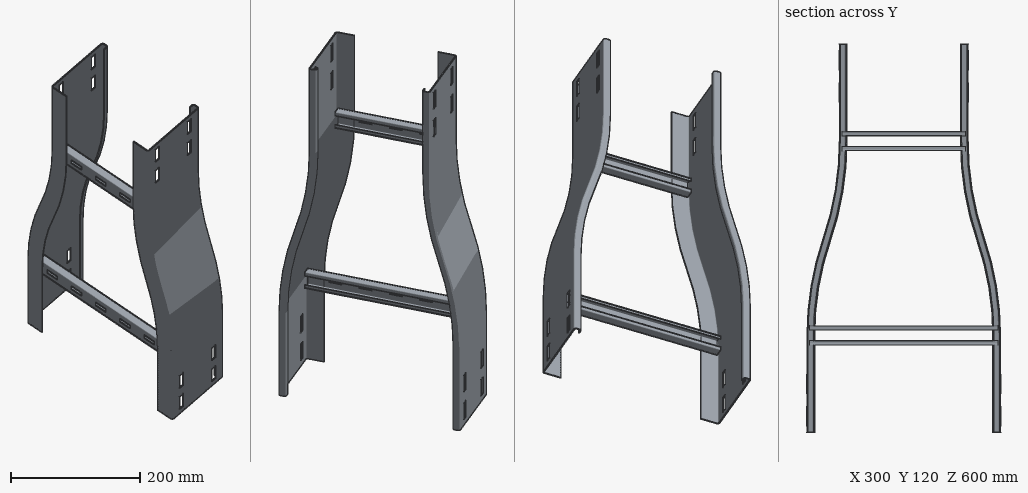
import cadquery as cq
import math

LENGTH = 600.0
DEPTH = 120.0
WIDE = 300.0
NARROW = 200.0
CURVE_START = 150.0
CURVE_END = LENGTH - CURVE_START

SHEET = 2.0
BEND = 4.0
BEND_INSIDE = BEND - SHEET
FRONT_FLANGE = 31.0
BACK_FLANGE = 12.5
LIP = 9.0

WEB_SLOT_WIDTH = 9.0
WEB_SLOT_LENGTH = 29.5
WEB_SLOT_FRONT_ROW = 22.0
WEB_SLOT_ROW_PITCH = 75.0
WEB_SLOT_ROWS = (WEB_SLOT_FRONT_ROW, WEB_SLOT_FRONT_ROW + WEB_SLOT_ROW_PITCH)
WEB_SLOT_FROM_END = 25.0
WEB_SLOT_PITCH = 50.0
WEB_SLOTS_PER_ROW = 2
SLOT_CUT = 4 * SHEET

RUNG_HEIGHT = 30.0
RUNG_DEPTH = 15.0
RUNG_SHEET = 1.5
RUNG_BEND = 2.0
RUNG_LIP = 7.0
RUNG_END_GAP = 0.5
RUNG_SLOT_LENGTH = 21.0
RUNG_SLOT_HEIGHT = 7.0
RUNG_SLOT_PITCH = 50.0
LOWER_SLOTS = 5
UPPER_SLOTS = 3

HALF_OFFSET = (WIDE - NARROW) / 4
HALF_RISE = (CURVE_END - CURVE_START) / 2
CURVE_RADIUS = (HALF_OFFSET**2 + HALF_RISE**2) / (2 * HALF_OFFSET)
CURVE_ANGLE = math.asin(HALF_RISE / CURVE_RADIUS)


def curve_point(angle, upper):
    """Point on the left rail's outer face (X, Z), at an angle along the lower or upper arc."""
    sideways = CURVE_RADIUS * (1 - math.cos(angle))
    along = CURVE_RADIUS * math.sin(angle)
    if upper:
        return (-NARROW / 2 - sideways, CURVE_END - along)
    return (-WIDE / 2 + sideways, CURVE_START + along)


def rail_path():
    """Straight, S-curve, straight: the line the outer face of the left rail follows."""
    half_angle = CURVE_ANGLE / 2
    return (
        cq.Workplane("XZ")
        .moveTo(-WIDE / 2, 0)
        .lineTo(*curve_point(0, False))
        .threePointArc(curve_point(half_angle, False), curve_point(CURVE_ANGLE, False))
        .threePointArc(curve_point(half_angle, True), curve_point(0, True))
        .lineTo(-NARROW / 2, LENGTH)
    )


def rail_section():
    """Bent-sheet section of the left rail at the bottom: web, front flange, back flange and lip."""
    outer_x = -WIDE / 2
    lip_x = outer_x + BACK_FLANGE
    mid_arc = 1 - math.sqrt(0.5)
    corner = BEND * mid_arc
    inner_corner = SHEET + BEND_INSIDE * mid_arc
    return (
        cq.Workplane("XY")
        .moveTo(outer_x + FRONT_FLANGE, 0)
        .lineTo(outer_x + BEND, 0)
        .threePointArc((outer_x + corner, corner), (outer_x, BEND))
        .lineTo(outer_x, DEPTH - BEND)
        .threePointArc((outer_x + corner, DEPTH - corner), (outer_x + BEND, DEPTH))
        .lineTo(lip_x - BEND, DEPTH)
        .threePointArc((lip_x - corner, DEPTH - corner), (lip_x, DEPTH - BEND))
        .lineTo(lip_x, DEPTH - LIP)
        .lineTo(lip_x - SHEET, DEPTH - LIP)
        .lineTo(lip_x - SHEET, DEPTH - BEND)
        .threePointArc((lip_x - inner_corner, DEPTH - inner_corner), (lip_x - BEND, DEPTH - SHEET))
        .lineTo(outer_x + BEND, DEPTH - SHEET)
        .threePointArc((outer_x + inner_corner, DEPTH - inner_corner), (outer_x + SHEET, DEPTH - BEND))
        .lineTo(outer_x + SHEET, BEND)
        .threePointArc((outer_x + inner_corner, inner_corner), (outer_x + BEND, SHEET))
        .lineTo(outer_x + FRONT_FLANGE, SHEET)
        .close()
    )


def rail_slots():
    """Cutters for the slots near both ends of the left rail's web."""
    slots = []
    for end_x, end_z, direction in ((-WIDE / 2, 0, 1), (-NARROW / 2, LENGTH, -1)):
        for row in WEB_SLOT_ROWS:
            for step in range(WEB_SLOTS_PER_ROW):
                z = end_z + direction * (WEB_SLOT_FROM_END + step * WEB_SLOT_PITCH)
                slot = cq.Solid.makeBox(SLOT_CUT, WEB_SLOT_WIDTH, WEB_SLOT_LENGTH)
                corner = (end_x - SLOT_CUT / 2, row - WEB_SLOT_WIDTH / 2, z - WEB_SLOT_LENGTH / 2)
                slots.append(slot.translate(cq.Vector(*corner)))
    return cq.Workplane(cq.Compound.makeCompound(slots))


def make_left_rail():
    """Side rail swept along the S-curve, with its connection slots."""
    return rail_section().sweep(rail_path()).cut(rail_slots())


def make_rung(outer_width, height, slot_count):
    """Lipped C-channel rung lying on the front flanges, its slotted web to the front."""
    length = outer_width - 2 * (BEND + RUNG_END_GAP)
    body = cq.Workplane("XY").box(length, RUNG_DEPTH, RUNG_HEIGHT).edges("|X").fillet(RUNG_BEND)
    hollow = cq.Workplane("XY").box(length, RUNG_DEPTH - 2 * RUNG_SHEET, RUNG_HEIGHT - 2 * RUNG_SHEET)
    hollow = hollow.edges("|X").fillet(RUNG_BEND - RUNG_SHEET)
    mouth = cq.Workplane("XY").box(length, RUNG_DEPTH, RUNG_HEIGHT - 2 * RUNG_LIP)
    mouth = mouth.translate((0, RUNG_DEPTH / 2, 0))
    slots = (
        cq.Workplane("XZ")
        .rarray(RUNG_SLOT_PITCH, 1, slot_count, 1)
        .rect(RUNG_SLOT_LENGTH, RUNG_SLOT_HEIGHT)
        .extrude(RUNG_DEPTH)
    )
    return body.cut(hollow).cut(mouth).cut(slots).translate((0, SHEET + RUNG_DEPTH / 2, height))


left_rail = make_left_rail()
right_rail = left_rail.mirror("YZ")
lower_rung = make_rung(WIDE, CURVE_START, LOWER_SLOTS)
upper_rung = make_rung(NARROW, CURVE_END, UPPER_SLOTS)

result = cq.Compound.makeCompound(
    [left_rail.val(), right_rail.val(), lower_rung.val(), upper_rung.val()]
)